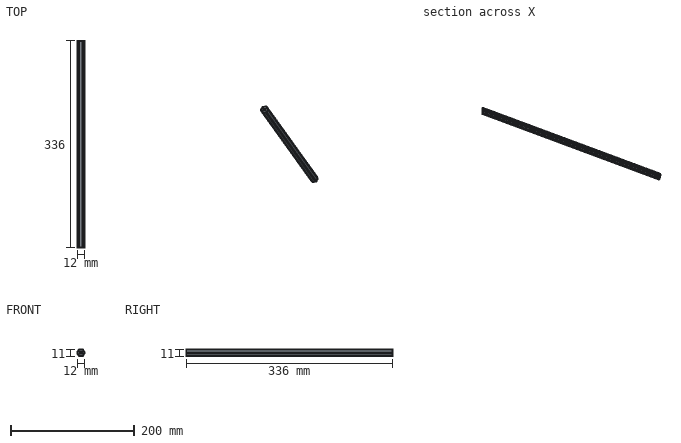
import math

import cadquery as cq

LENGTH = 336.0
FLAT_COUNT = 6
ACROSS_FLATS = 11.0
ACROSS_SHARP_CORNERS = ACROSS_FLATS / math.cos(math.pi / FLAT_COUNT)
TURNED_DIAMETER = 12.0
BORE_DIAMETER = 3.0
BORE_CHAMFER = 0.5


def bar_along_y(profile):
    """Extrude a profile drawn on the XZ plane, centred on the origin in Y."""
    return profile.extrude(LENGTH / 2, both=True)


def hexagonal_bar():
    """Sharp hexagon with flats facing up and down and two corners on the X axis."""
    return bar_along_y(cq.Workplane("XZ").polygon(FLAT_COUNT, ACROSS_SHARP_CORNERS))


def round_bar(diameter):
    """Cylinder on the Y axis, as long as the bar."""
    return bar_along_y(cq.Workplane("XZ").circle(diameter / 2))


def chamfered_bore():
    """Solid of revolution about Y that widens by the chamfer at both ends."""
    bore_radius = BORE_DIAMETER / 2
    mouth_radius = bore_radius + BORE_CHAMFER
    end = LENGTH / 2
    chamfer_start = end - BORE_CHAMFER
    half_section = cq.Workplane("XY").polyline([
        (0, -end),
        (mouth_radius, -end),
        (bore_radius, -chamfer_start),
        (bore_radius, chamfer_start),
        (mouth_radius, end),
        (0, end),
    ]).close()
    return half_section.revolve(360, (0, 0, 0), (0, 1, 0))


turned_hexagon = hexagonal_bar().intersect(round_bar(TURNED_DIAMETER))
result = turned_hexagon.cut(chamfered_bore())